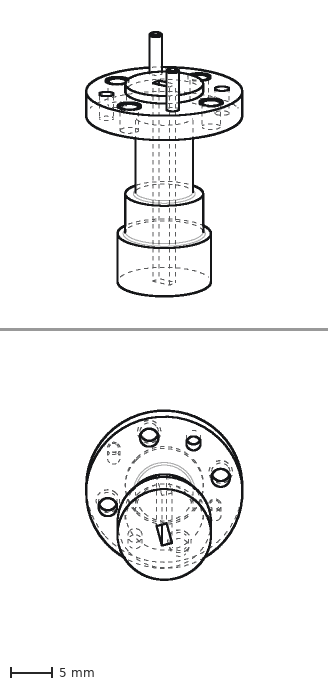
import cadquery as cq

base_top = 6.2
collar_top = 11.3
flange_bottom = 21.3
flange_top = 24.43
boss_top = 25.4
pin_top = 29.55

base_diameter = 11.4
collar_diameter = 9.5
stem_diameter = 7.03
flange_diameter = 19.05
boss_diameter = 9.5
step_fillet = 0.25

channel_width = 2.55
channel_height = 1.27

pattern_radius = 7.12
bolt_hole_diameter = 2.25
counterbore_diameter = 2.85
counterbore_depth = 0.12
alignment_hole_diameter = 1.75
pin_diameter = 1.55
pin_tip_diameter = 1.12
pin_tip_height = 0.2


def disc(diameter, bottom, top):
    """Upright cylinder on the main axis between two heights."""
    return cq.Workplane("XY").workplane(offset=bottom).circle(diameter / 2).extrude(top - bottom)


def flange_pattern(height, count, first_angle):
    """Evenly spaced points on the flange hole circle at the given height."""
    return cq.Workplane("XY").workplane(offset=height).polarArray(pattern_radius, first_angle, 360, count)


def make_body():
    """Stepped coaxial body, with fillets where a narrow step meets a wide one."""
    body = disc(base_diameter, 0, base_top)
    body = body.union(disc(collar_diameter, base_top, collar_top))
    body = body.union(disc(stem_diameter, collar_top, flange_bottom))
    body = body.union(disc(flange_diameter, flange_bottom, flange_top))
    inner_corners = [
        (collar_diameter, base_top),
        (stem_diameter, collar_top),
        (stem_diameter, flange_bottom),
    ]
    for diameter, height in inner_corners:
        reach = diameter / 2 + step_fillet
        around_corner = cq.selectors.BoxSelector(
            (-reach, -reach, height - step_fillet),
            (reach, reach, height + step_fillet),
            boundingbox=True,
        )
        body = body.edges(around_corner).fillet(step_fillet)
    return body.union(disc(boss_diameter, flange_top, boss_top))


def cut_flange_holes(body):
    """Four counterbored bolt holes on the axes and two diagonal alignment holes."""
    thickness = flange_top - flange_bottom
    bolt_holes = flange_pattern(flange_top, 4, 0).circle(bolt_hole_diameter / 2).extrude(-thickness)
    counterbores = flange_pattern(flange_top, 4, 0).circle(counterbore_diameter / 2).extrude(-counterbore_depth)
    alignment_holes = flange_pattern(flange_top, 2, 45).circle(alignment_hole_diameter / 2).extrude(-thickness)
    return body.cut(bolt_holes).cut(counterbores).cut(alignment_holes)


def make_pins():
    """Two alignment pins with chamfered tips, opposite the alignment holes."""
    pins = flange_pattern(flange_bottom, 2, 135).circle(pin_diameter / 2).extrude(pin_top - flange_bottom)
    tip_inset = (pin_diameter - pin_tip_diameter) / 2
    return pins.faces(">Z").edges().chamfer(pin_tip_height, tip_inset)


channel = cq.Workplane("XY").rect(channel_width, channel_height).extrude(boss_top)
result = cut_flange_holes(make_body()).union(make_pins()).cut(channel)